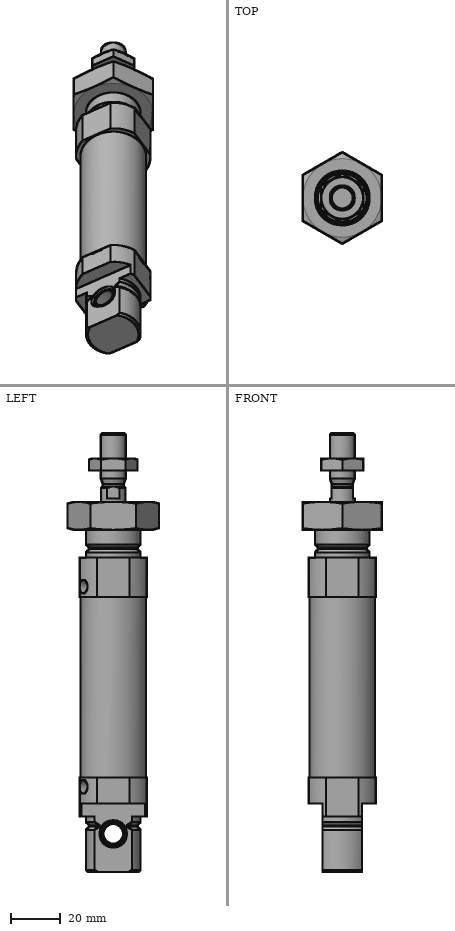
import cadquery as cq
import math

TOTAL_LENGTH = 176.5

NECK_DIAMETER = 22.0
CAP_DIAMETER = 30.0
CAP_ACROSS_FLATS = 27.0
TUBE_DIAMETER = 26.5
CLEVIS_WIDTH = 16.0
CLEVIS_SHOULDER_Z = 27.5
REAR_CAP_BOTTOM_Z = 22.2
REAR_CAP_TOP_Z = 38.0
FRONT_CAP_BOTTOM_Z = 110.5
FRONT_CAP_TOP_Z = 126.4
REAR_END_CHAMFER = 0.9

GROOVE_FLOOR_DIAMETER = 19.5
GROOVE_DEPTH = (NECK_DIAMETER - GROOVE_FLOOR_DIAMETER) / 2
GROOVE_MOUTH = 3.2
REAR_GROOVE_BOTTOM_Z = 17.0
FRONT_GROOVE_BOTTOM_Z = 128.5

PIVOT_DIAMETER = 8.0
PIVOT_RECESS_DIAMETER = 9.4
PIVOT_MOUTH_DIAMETER = 11.0
PIVOT_Z = 15.4

SIDE_HOLE_DIAMETER = 5.5
SIDE_HOLE_DEPTH = 5.0
SIDE_HOLE_ANGLE = 126
REAR_SIDE_HOLE_Z = 34.2
FRONT_SIDE_HOLE_Z = 114.7

NECK_NUT_ACROSS_FLATS = 32.0
NECK_NUT_HEIGHT = 11.3
NECK_NUT_FACE_DIAMETER = 31.6
NECK_NUT_TOP_Z = 148.8
NECK_NUT_BOTTOM_Z = NECK_NUT_TOP_Z - NECK_NUT_HEIGHT
NECK_NUT_CORNER_DROP = 0.7
NUT_SEAT_DIAMETER = 20.8
NUT_SEAT_CHAMFER = (NECK_DIAMETER - NUT_SEAT_DIAMETER) / 2

ROD_DIAMETER = 10.0
ROD_TIP_DIAMETER = 8.5
ROD_TIP_CHAMFER = (ROD_DIAMETER - ROD_TIP_DIAMETER) / 2
THREAD_BOTTOM_Z = 158.1
UNDERCUT_DIAMETER = 8.5
UNDERCUT_TOP_Z = 156.0
UNDERCUT_BOTTOM_Z = 155.0
ROD_SHOULDER_CHAMFER = 0.7
WRENCH_ACROSS_FLATS = 8.6
WRENCH_BOTTOM_Z = 150.2

ROD_NUT_ACROSS_FLATS = 17.0
ROD_NUT_HEIGHT = 5.0
ROD_NUT_FACE_DIAMETER = 16.8
ROD_NUT_BOTTOM_Z = 161.3
ROD_NUT_CORNER_DROP = 0.5


def cylinder(diameter, bottom_z, top_z):
    """Upright cylinder on the Z axis."""
    return cq.Workplane("XY").workplane(offset=bottom_z).circle(diameter / 2).extrude(top_z - bottom_z)


def turned(profile):
    """Solid of revolution about Z from (radius, z) points."""
    return cq.Workplane("XZ").polyline(profile).close().revolve(360, (0, 0), (0, 1))


def neck_groove(bottom_z):
    """Ring to cut from a neck: flat floor, 45 degree sides."""
    neck_radius = NECK_DIAMETER / 2
    floor_radius = GROOVE_FLOOR_DIAMETER / 2
    top_z = bottom_z + GROOVE_MOUTH
    return turned([
        (neck_radius, bottom_z),
        (neck_radius, top_z),
        (floor_radius, top_z - GROOVE_DEPTH),
        (floor_radius, bottom_z + GROOVE_DEPTH),
    ])


def cap(bottom_z, top_z):
    """Square end cap with rounded corners."""
    flats = (
        cq.Workplane("XY")
        .workplane(offset=bottom_z)
        .rect(CAP_ACROSS_FLATS, CAP_ACROSS_FLATS)
        .extrude(top_z - bottom_z)
    )
    return cylinder(CAP_DIAMETER, bottom_z, top_z).intersect(flats)


def clevis_cheeks():
    """Blocks to cut from both X sides, leaving the narrow clevis tongue."""
    block_width = (CAP_DIAMETER - CLEVIS_WIDTH) / 2
    block_x = (CAP_DIAMETER + CLEVIS_WIDTH) / 4
    return (
        cq.Workplane("XY")
        .pushPoints([(-block_x, 0), (block_x, 0)])
        .rect(block_width, CAP_DIAMETER)
        .extrude(CLEVIS_SHOULDER_Z)
    )


def pivot_hole():
    """Through hole along X with a shallow tapered recess at each side."""
    side_x = CLEVIS_WIDTH / 2
    hole_radius = PIVOT_DIAMETER / 2
    recess_radius = PIVOT_RECESS_DIAMETER / 2
    mouth_radius = PIVOT_MOUTH_DIAMETER / 2
    inner_x = side_x - (mouth_radius - recess_radius)
    return (
        cq.Workplane("XY")
        .polyline([
            (-side_x, 0),
            (-side_x, mouth_radius),
            (-inner_x, recess_radius),
            (-inner_x, hole_radius),
            (inner_x, hole_radius),
            (inner_x, recess_radius),
            (side_x, mouth_radius),
            (side_x, 0),
        ])
        .close()
        .revolve(360, (0, 0), (1, 0))
        .translate((0, 0, PIVOT_Z))
    )


def side_hole(center_z):
    """Blind radial hole in the rounded corner of a cap."""
    return (
        cq.Workplane("YZ")
        .workplane(offset=CAP_DIAMETER / 2 - SIDE_HOLE_DEPTH)
        .circle(SIDE_HOLE_DIAMETER / 2)
        .extrude(CAP_DIAMETER / 2)
        .rotate((0, 0, 0), (0, 0, 1), SIDE_HOLE_ANGLE)
        .translate((0, 0, center_z))
    )


def make_housing():
    """Clevis, rear cap, tube, front cap and neck in one body."""
    rear_neck = cylinder(NECK_DIAMETER, 0, REAR_CAP_BOTTOM_Z).faces("<Z").chamfer(REAR_END_CHAMFER)
    front_neck = cylinder(NECK_DIAMETER, FRONT_CAP_TOP_Z, NECK_NUT_BOTTOM_Z)
    nut_seat = (
        cylinder(NUT_SEAT_DIAMETER, NECK_NUT_BOTTOM_Z, NECK_NUT_TOP_Z)
        .faces(">Z")
        .chamfer(NUT_SEAT_CHAMFER)
    )
    housing = (
        rear_neck
        .union(cap(REAR_CAP_BOTTOM_Z, REAR_CAP_TOP_Z))
        .union(cylinder(TUBE_DIAMETER, REAR_CAP_TOP_Z, FRONT_CAP_BOTTOM_Z))
        .union(cap(FRONT_CAP_BOTTOM_Z, FRONT_CAP_TOP_Z))
        .union(front_neck)
        .union(nut_seat)
    )
    for groove_z in (REAR_GROOVE_BOTTOM_Z, FRONT_GROOVE_BOTTOM_Z):
        housing = housing.cut(neck_groove(groove_z))
    housing = housing.cut(clevis_cheeks()).cut(pivot_hole())
    for hole_z in (REAR_SIDE_HOLE_Z, FRONT_SIDE_HOLE_Z):
        housing = housing.cut(side_hole(hole_z))
    rod_bore = cylinder(ROD_DIAMETER, FRONT_CAP_BOTTOM_Z, NECK_NUT_TOP_Z)
    return housing.cut(rod_bore)


def make_rod():
    """Piston rod with threaded tip, undercut and two wrench flats."""
    rod_radius = ROD_DIAMETER / 2
    undercut_radius = UNDERCUT_DIAMETER / 2
    rod = turned([
        (0, FRONT_CAP_BOTTOM_Z),
        (rod_radius, FRONT_CAP_BOTTOM_Z),
        (rod_radius, UNDERCUT_BOTTOM_Z - ROD_SHOULDER_CHAMFER),
        (rod_radius - ROD_SHOULDER_CHAMFER, UNDERCUT_BOTTOM_Z),
        (undercut_radius, UNDERCUT_BOTTOM_Z),
        (undercut_radius, UNDERCUT_TOP_Z),
        (rod_radius, THREAD_BOTTOM_Z),
        (rod_radius, TOTAL_LENGTH - ROD_TIP_CHAMFER),
        (ROD_TIP_DIAMETER / 2, TOTAL_LENGTH),
        (0, TOTAL_LENGTH),
    ])
    flat_x = (WRENCH_ACROSS_FLATS + ROD_DIAMETER) / 2
    flats = (
        cq.Workplane("XY")
        .workplane(offset=WRENCH_BOTTOM_Z)
        .pushPoints([(-flat_x, 0), (flat_x, 0)])
        .rect(ROD_DIAMETER, ROD_DIAMETER)
        .extrude(UNDERCUT_BOTTOM_Z - WRENCH_BOTTOM_Z)
    )
    return rod.cut(flats)


def hex_nut(across_flats, hole_diameter, bottom_z, height, face_diameter, bottom_drop, top_drop):
    """Hexagon nut, corners on Y; a drop is how far a cone lowers the corners of that side."""
    corner_diameter = across_flats / math.cos(math.pi / 6)
    top_z = bottom_z + height
    corner_radius = corner_diameter / 2
    hexagon = (
        cq.Workplane("XY")
        .workplane(offset=bottom_z)
        .polygon(6, corner_diameter)
        .extrude(height)
        .rotate((0, 0, 0), (0, 0, 1), 90)
    )
    profile = [(0, bottom_z)]
    if bottom_drop > 0:
        profile.append((face_diameter / 2, bottom_z))
    profile += [
        (corner_radius, bottom_z + bottom_drop),
        (corner_radius, top_z - top_drop),
        (face_diameter / 2, top_z),
        (0, top_z),
    ]
    return hexagon.intersect(turned(profile)).cut(cylinder(hole_diameter, bottom_z, top_z))


def neck_nut_mouth():
    """45 degree chamfer to cut from the upper edge of the neck nut's hole."""
    return turned([
        (0, NECK_NUT_TOP_Z),
        (NECK_DIAMETER / 2, NECK_NUT_TOP_Z),
        (NUT_SEAT_DIAMETER / 2, NECK_NUT_TOP_Z - NUT_SEAT_CHAMFER),
        (0, NECK_NUT_TOP_Z - NUT_SEAT_CHAMFER),
    ])


housing = make_housing()
rod = make_rod()
neck_nut = hex_nut(
    NECK_NUT_ACROSS_FLATS,
    NUT_SEAT_DIAMETER,
    NECK_NUT_BOTTOM_Z,
    NECK_NUT_HEIGHT,
    NECK_NUT_FACE_DIAMETER,
    NECK_NUT_CORNER_DROP,
    NECK_NUT_CORNER_DROP,
)
neck_nut = neck_nut.cut(neck_nut_mouth())
rod_nut = hex_nut(
    ROD_NUT_ACROSS_FLATS,
    ROD_DIAMETER,
    ROD_NUT_BOTTOM_Z,
    ROD_NUT_HEIGHT,
    ROD_NUT_FACE_DIAMETER,
    0,
    ROD_NUT_CORNER_DROP,
)

result = cq.Compound.makeCompound([housing.val(), rod.val(), neck_nut.val(), rod_nut.val()])